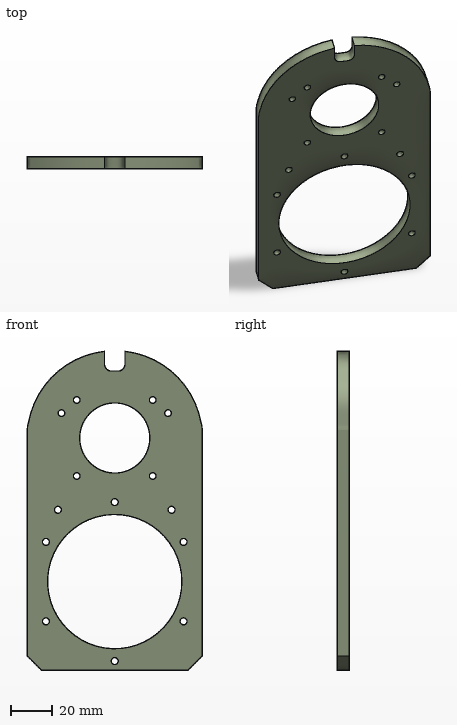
import cadquery as cq
import math

plate_width = 85.0
plate_height = 154.8
plate_thickness = 6.0
half_width = plate_width / 2

bottom_chamfer = 7.0
dome_radius = 42.4
blend_bottom_z = 116.5
blend_height = 3.7
blend_inset = 0.6

notch_width = 9.8
notch_depth = 9.6
notch_corner_radius = 3.3
notch_floor_z = plate_height - notch_depth

upper_bore_diameter = 33.9
upper_bore_z = 112.7
upper_square_pitch = 36.8
upper_hole_diameter = 3.1
upper_pair_spacing = 51.7
upper_pair_z = 124.7

lower_bore_diameter = 65.0
lower_bore_z = 43.0
bolt_circle_radius = 38.5
bolt_count = 6
lower_hole_diameter = 3.3
middle_pair_spacing = 55.1
middle_pair_z = 77.8


def make_plate():
    """Domed plate; short arcs blend the straight sides into the dome."""
    notch_edge_x = notch_width / 2
    blend_top_x = half_width - blend_inset
    blend_top_z = blend_bottom_z + blend_height
    blend_radius = (blend_inset**2 + blend_height**2) / (2 * blend_inset)
    return (
        cq.Workplane("XZ", origin=(0, plate_thickness / 2, 0))
        .moveTo(-half_width + bottom_chamfer, 0)
        .lineTo(half_width - bottom_chamfer, 0)
        .lineTo(half_width, bottom_chamfer)
        .lineTo(half_width, blend_bottom_z)
        .radiusArc((blend_top_x, blend_top_z), -blend_radius)
        .radiusArc((notch_edge_x, plate_height), -dome_radius)
        .lineTo(notch_edge_x, notch_floor_z + notch_corner_radius)
        .radiusArc((notch_edge_x - notch_corner_radius, notch_floor_z), notch_corner_radius)
        .lineTo(-notch_edge_x + notch_corner_radius, notch_floor_z)
        .radiusArc((-notch_edge_x, notch_floor_z + notch_corner_radius), notch_corner_radius)
        .lineTo(-notch_edge_x, plate_height)
        .radiusArc((-blend_top_x, blend_top_z), -dome_radius)
        .radiusArc((-half_width, blend_bottom_z), -blend_radius)
        .lineTo(-half_width, bottom_chamfer)
        .close()
        .extrude(plate_thickness)
    )


def through_holes(centres, diameter):
    """Cylinders through the plate at the given (X, Z) centres."""
    return (
        cq.Workplane("XZ", origin=(0, plate_thickness / 2, 0))
        .pushPoints(centres)
        .circle(diameter / 2)
        .extrude(plate_thickness)
    )


def mirrored_pair(spacing, z):
    return [(-spacing / 2, z), (spacing / 2, z)]


upper_holes = mirrored_pair(upper_pair_spacing, upper_pair_z)
for side in (-1, 1):
    upper_holes += mirrored_pair(upper_square_pitch, upper_bore_z + side * upper_square_pitch / 2)

lower_holes = mirrored_pair(middle_pair_spacing, middle_pair_z)
for index in range(bolt_count):
    angle = 2 * math.pi * index / bolt_count
    hole_x = bolt_circle_radius * math.sin(angle)
    hole_z = lower_bore_z + bolt_circle_radius * math.cos(angle)
    lower_holes.append((hole_x, hole_z))

result = (
    make_plate()
    .cut(through_holes([(0, upper_bore_z)], upper_bore_diameter))
    .cut(through_holes([(0, lower_bore_z)], lower_bore_diameter))
    .cut(through_holes(upper_holes, upper_hole_diameter))
    .cut(through_holes(lower_holes, lower_hole_diameter))
)